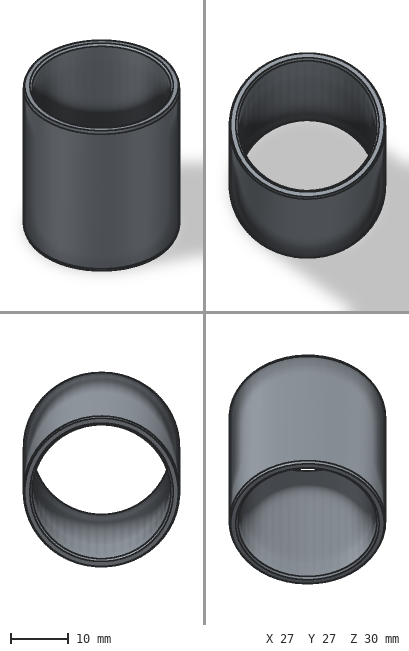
import math

import cadquery as cq

outer_diameter = 27.0
bore_diameter = 24.0
length = 30.0

outer_chamfer_length = 0.6
outer_chamfer_angle = 20.0
outer_chamfer_depth = outer_chamfer_length * math.tan(math.radians(outer_chamfer_angle))

bore_chamfer = 0.4

outer_radius = outer_diameter / 2
bore_radius = bore_diameter / 2
half_length = length / 2


def make_bushing():
    """Revolve the chamfered wall section around the Z axis."""
    outer_edge_z = half_length - outer_chamfer_length
    bore_edge_z = half_length - bore_chamfer
    outer_rim_radius = outer_radius - outer_chamfer_depth
    bore_rim_radius = bore_radius + bore_chamfer
    wall_section = (
        cq.Workplane("XZ")
        .moveTo(bore_radius, -bore_edge_z)
        .lineTo(bore_rim_radius, -half_length)
        .lineTo(outer_rim_radius, -half_length)
        .lineTo(outer_radius, -outer_edge_z)
        .lineTo(outer_radius, outer_edge_z)
        .lineTo(outer_rim_radius, half_length)
        .lineTo(bore_rim_radius, half_length)
        .lineTo(bore_radius, bore_edge_z)
        .close()
    )
    return wall_section.revolve(360, (0, 0, 0), (0, 1, 0))


result = make_bushing()